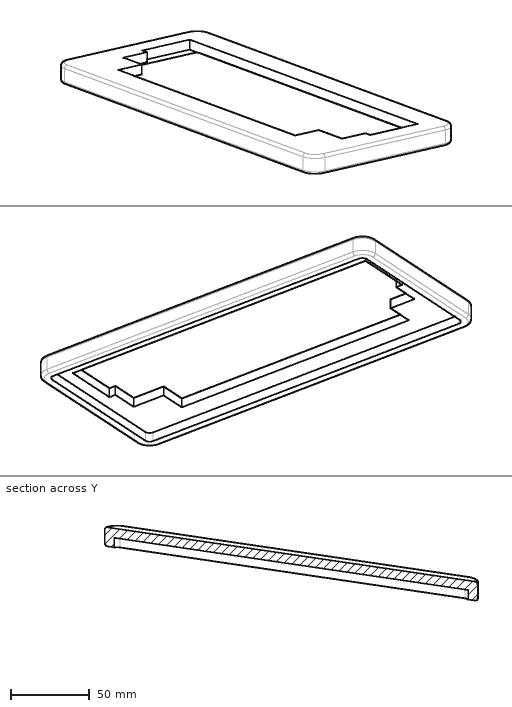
import cadquery as cq

length = 264.0
width = 117.0
thickness = 13.0
corner_radius = 10.0
edge_radius = 2.0

plate_thickness = 6.5
rim_width = 6.5
recess_depth = thickness - plate_thickness
recess_corner_radius = corner_radius - rim_width

opening_offset_y = 0.3
opening_length = 233.5
opening_columns = 12.25
key_pitch = opening_length / opening_columns

row_bands = [
    (2, 0, 0),
    (1, 0.25, 0.25),
    (1, 1.25, 1.5),
]
opening_rows = sum(rows for rows, _, _ in row_bands)


def make_frame():
    """Solid slab with rounded corners and rounded top and bottom edges."""
    slab = cq.Workplane("XY").box(length, width, thickness)
    slab = slab.edges("|Z").fillet(corner_radius)
    return slab.faces("<Z or >Z").edges().fillet(edge_radius)


def make_recess():
    """Cutter that hollows the underside up to the top plate."""
    recess = cq.Workplane("XY").box(length - 2 * rim_width, width - 2 * rim_width, recess_depth)
    recess = recess.edges("|Z").fillet(recess_corner_radius)
    return recess.translate((0, 0, (recess_depth - thickness) / 2))


def make_opening():
    """Through cutter made of one box for each band of key rows."""
    cutter = cq.Workplane("XY")
    band_top = opening_offset_y + opening_rows * key_pitch / 2
    for rows, left_inset, right_inset in row_bands:
        left = -opening_length / 2 + left_inset * key_pitch
        right = opening_length / 2 - right_inset * key_pitch
        band_height = rows * key_pitch
        band = cq.Workplane("XY").box(right - left, band_height, thickness)
        band = band.translate(((left + right) / 2, band_top - band_height / 2, 0))
        cutter = cutter.add(band)
        band_top -= band_height
    return cutter.combine()


result = make_frame().cut(make_recess()).cut(make_opening())